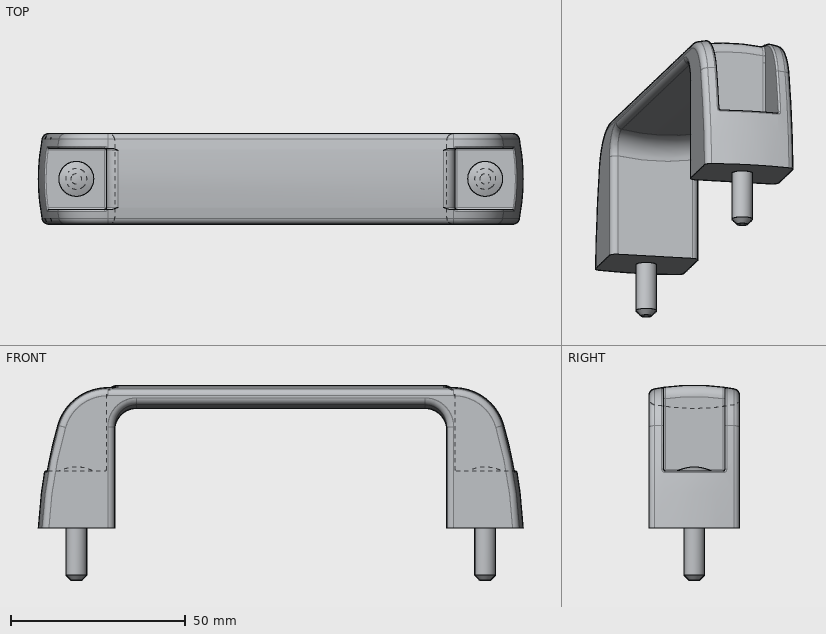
import math

import cadquery as cq

length = 138.79
width = 26.0
height = 40.91

shoulder_radius = 15.6
shoulder_x = 49.5
shoulder_angle = math.radians(74.0)

crown_radius = 60.0
edge_radius = 2.0

leg_inner_x = 47.5
grip_bottom = 34.2
opening_corner_radius = 6.2

pocket_width = 17.5
pocket_floor = 16.3
pocket_wall_x = 49.9
pocket_lip_radius = 3.3
pocket_edge_radius = 0.5

screw_spacing = 117.0
screw_diameter = 6.0
screw_length = 15.0
screw_tip_length = 1.5
screw_tip_diameter = 3.0
screw_head_diameter = 10.0
screw_head_rise = 1.2

clearance = 2.0


def outer_path():
    """Centre-plane outline of the outer surface, from mid-grip to the left foot."""
    join_x = -shoulder_x - shoulder_radius * math.sin(shoulder_angle)
    join_z = height - shoulder_radius * (1 - math.cos(shoulder_angle))
    return (
        cq.Workplane("XZ")
        .moveTo(0, height)
        .lineTo(-shoulder_x, height)
        .tangentArcPoint((join_x, join_z), relative=False)
        .tangentArcPoint((-length / 2, 0), relative=False)
    )


def rim_tool():
    """Everything outside the crowned, round-edged section, swept along the outer outline."""
    side = width / 2
    edge_y = side - edge_radius
    edge_z = math.sqrt((crown_radius - edge_radius) ** 2 - edge_y**2) - crown_radius
    lean = math.asin(edge_y / (crown_radius - edge_radius))
    tangent_y = edge_y + edge_radius * math.sin(lean)
    tangent_z = edge_z + edge_radius * math.cos(lean)
    section = (
        cq.Workplane("YZ", origin=(0, 0, height))
        .moveTo(side + clearance, edge_z)
        .lineTo(side, edge_z)
        .radiusArc((tangent_y, tangent_z), -edge_radius)
        .radiusArc((-tangent_y, tangent_z), -crown_radius)
        .radiusArc((-side, edge_z), -edge_radius)
        .lineTo(-side - clearance, edge_z)
        .lineTo(-side - clearance, clearance)
        .lineTo(side + clearance, clearance)
        .close()
    )
    return section.sweep(outer_path())


def opening_tool():
    """Opening under the left half of the grip, with a roof that bulges downwards."""
    side = width / 2
    crown_rise = crown_radius - math.sqrt(crown_radius**2 - side**2)
    return (
        cq.Workplane("YZ")
        .moveTo(-side, 0)
        .lineTo(-side, grip_bottom + crown_rise)
        .threePointArc((0, grip_bottom), (side, grip_bottom + crown_rise))
        .lineTo(side, 0)
        .close()
        .extrude(-leg_inner_x)
        .edges("<X")
        .edges(">Z")
        .fillet(opening_corner_radius)
    )


def pocket_tool():
    """Screw pocket, open to the outside, with rounded inner corners."""
    depth = length / 2 + clearance - pocket_wall_x
    pocket_height = height + clearance - pocket_floor
    return (
        cq.Workplane("XY", origin=(-pocket_wall_x, 0, pocket_floor))
        .box(2 * depth, pocket_width, pocket_height, centered=(True, True, False))
        .translate((-depth, 0, 0))
        .edges("(|Z and >X) or (|X and <Z) or (|Y and <Z and >X)")
        .fillet(pocket_edge_radius)
    )


def lip_tool():
    """Cutter that rolls the pocket's end wall over into the crown of the grip."""
    crown_axis_z = height - crown_radius
    lip_start_z = height - pocket_lip_radius
    lip_end_x = -pocket_wall_x + pocket_lip_radius
    overlap_x = -pocket_wall_x - clearance
    ring = (
        cq.Workplane("XZ")
        .moveTo(-pocket_wall_x, lip_start_z - clearance)
        .lineTo(-pocket_wall_x, lip_start_z)
        .radiusArc((lip_end_x, height), pocket_lip_radius)
        .lineTo(lip_end_x, height + clearance)
        .lineTo(overlap_x, height + clearance)
        .lineTo(overlap_x, lip_start_z - clearance)
        .close()
        .revolve(360, (0, crown_axis_z, 0), (1, crown_axis_z, 0))
    )
    pocket_sides = cq.Workplane("XY", origin=(-pocket_wall_x, 0, pocket_floor)).box(
        length, pocket_width, height, centered=(True, True, False)
    )
    lip = ring.intersect(pocket_sides)
    rolled_edges = cq.selectors.BoxSelector(
        (-pocket_wall_x + pocket_edge_radius, -width, lip_start_z),
        (lip_end_x - pocket_edge_radius, width, height - pocket_edge_radius),
    )
    return lip.edges(rolled_edges).fillet(pocket_edge_radius)


def screw():
    """Stud below the foot and the domed head standing on the pocket floor."""
    stud_radius = screw_diameter / 2
    head_radius = screw_head_diameter / 2
    head_underside = pocket_floor - clearance
    dome_radius = (head_radius**2 + screw_head_rise**2) / (2 * screw_head_rise)
    return (
        cq.Workplane("XZ", origin=(-screw_spacing / 2, 0, 0))
        .moveTo(0, -screw_length)
        .lineTo(screw_tip_diameter / 2, -screw_length)
        .lineTo(stud_radius, screw_tip_length - screw_length)
        .lineTo(stud_radius, head_underside)
        .lineTo(head_radius, head_underside)
        .lineTo(head_radius, pocket_floor)
        .radiusArc((0, pocket_floor + screw_head_rise), -dome_radius)
        .close()
        .revolve(360, (0, 0, 0), (0, 1, 0))
    )


def left_half():
    """Left half of the handle body, cut at mid-grip."""
    blank = outer_path().lineTo(0, 0).close().extrude(width / 2, both=True)
    body = blank.cut(opening_tool())
    opening_region = cq.selectors.BoxSelector(
        (-leg_inner_x - clearance, -width, clearance),
        (-clearance, width, height - clearance),
    )
    opening_edges = body.faces("<Y or >Y").edges(opening_region)
    body = opening_edges.fillet(edge_radius).cut(rim_tool())
    body = body.cut(pocket_tool())
    mouth = cq.selectors.NearestToPointSelector((-pocket_wall_x, 0, height))
    return body.edges(mouth).fillet(pocket_edge_radius).cut(lip_tool())


half = left_half().union(screw())
result = half.union(half.mirror("YZ")).clean()